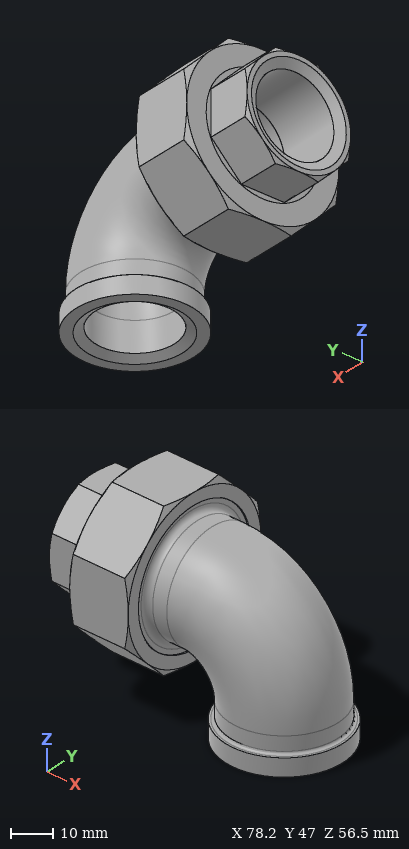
import cadquery as cq
import math

total_length = 78.2
bore_radius = 24.1 / 2
countersink_radius = 29.25 / 2
countersink_angle = 30.0
countersink_depth = (countersink_radius - bore_radius) * math.tan(math.radians(countersink_angle))
joint_radius = 39.8 / 2
octagon_chamfer_angle = 30.0
octagon_sides = 8

nut_start = 13.2
nut_end = 31.8
nut_across_flats = 47.0
nut_lip_thickness = 3.0
nut_lip_radius = 35.0 / 2
nut_shoulder = nut_start + nut_lip_thickness

tail_across_flats = 32.0
tail_collar_thickness = 3.4
tail_end = nut_shoulder + tail_collar_thickness

pipe_radius = 33.0 / 2
bend_start = 37.8
neck_start = 33.3
neck_fillet = 1.95
neck_collar_end = neck_start - neck_fillet
outlet_flange_radius = 36.0 / 2
outlet_flange_height = 5.4
outlet_fillet = 0.85
outlet_x = total_length - outlet_flange_radius
bend_radius = outlet_x - bend_start
outlet_pipe_end = 10.55
inlet_z = outlet_pipe_end + bend_radius


def inlet_cylinder(radius, start, end):
    """Cylinder on the inlet axis between two X positions."""
    axis_start = cq.Vector(start, 0, inlet_z)
    return cq.Workplane(cq.Solid.makeCylinder(radius, end - start, axis_start, cq.Vector(1, 0, 0)))


def countersink(center, direction):
    """Conical lead-in narrowing from an open end to the bore."""
    return cq.Workplane(
        cq.Solid.makeCone(countersink_radius, bore_radius, countersink_depth, center, direction)
    )


def octagon_bar(across_flats, start, end, chamfer_far_end):
    """Octagonal bar on the inlet axis with its corners chamfered by a cone."""
    flat_radius = across_flats / 2
    corner_radius = flat_radius / math.cos(math.pi / octagon_sides)
    chamfer_length = (corner_radius - flat_radius) * math.tan(math.radians(octagon_chamfer_angle))
    bar = (
        cq.Workplane("YZ", origin=(start, 0, inlet_z))
        .transformed(rotate=(0, 0, 180 / octagon_sides))
        .polygon(octagon_sides, 2 * corner_radius)
        .extrude(end - start)
    )
    far_cone_start = end - chamfer_length if chamfer_far_end else end
    profile = cq.Workplane("XZ").moveTo(start, inlet_z).lineTo(start, inlet_z + flat_radius)
    profile = profile.lineTo(start + chamfer_length, inlet_z + corner_radius)
    profile = profile.lineTo(far_cone_start, inlet_z + corner_radius)
    if chamfer_far_end:
        profile = profile.lineTo(end, inlet_z + flat_radius)
    profile = profile.lineTo(end, inlet_z).close()
    envelope = profile.revolve(360, (0, inlet_z), (1, inlet_z))
    return bar.intersect(envelope)


def make_nut():
    """Union nut whose lip holds the tailpiece collar against the elbow."""
    nut = octagon_bar(nut_across_flats, nut_start, nut_end, chamfer_far_end=True)
    nut = nut.cut(inlet_cylinder(nut_lip_radius, nut_start, nut_end))
    return nut.cut(inlet_cylinder(joint_radius, nut_shoulder, nut_end))


def make_tailpiece():
    """Octagonal inlet end with a round neck and a retaining collar."""
    tail = octagon_bar(tail_across_flats, 0, nut_start, chamfer_far_end=False)
    tail = tail.union(inlet_cylinder(nut_lip_radius, nut_start, nut_shoulder))
    tail = tail.union(inlet_cylinder(joint_radius, nut_shoulder, tail_end))
    tail = tail.cut(inlet_cylinder(bore_radius, 0, tail_end))
    return tail.cut(countersink(cq.Vector(0, 0, inlet_z), cq.Vector(1, 0, 0)))


def bent_rod(radius, start):
    """Round rod from the inlet through the bend and down to the outlet face."""
    mid_offset = bend_radius * math.sin(math.pi / 4)
    path = (
        cq.Workplane("XZ")
        .moveTo(start, inlet_z)
        .lineTo(bend_start, inlet_z)
        .threePointArc(
            (bend_start + mid_offset, outlet_pipe_end + mid_offset),
            (outlet_x, outlet_pipe_end),
        )
        .lineTo(outlet_x, 0)
    )
    return cq.Workplane("YZ", origin=(start, 0, inlet_z)).circle(radius).sweep(path)


def elbow_collar():
    """Collar inside the nut, with a concave fillet down to the pipe."""
    collar_top = inlet_z + joint_radius
    pipe_top = inlet_z + pipe_radius
    return (
        cq.Workplane("XZ")
        .moveTo(tail_end, inlet_z)
        .lineTo(tail_end, collar_top)
        .lineTo(neck_collar_end, collar_top)
        .lineTo(neck_collar_end, pipe_top + neck_fillet)
        .radiusArc((neck_start, pipe_top), -neck_fillet)
        .lineTo(neck_start, inlet_z)
        .close()
        .revolve(360, (0, inlet_z), (1, inlet_z))
    )


def outlet_flange():
    """Outlet rim with a concave fillet up to the pipe."""
    return (
        cq.Workplane("XZ")
        .moveTo(outlet_x, 0)
        .lineTo(total_length, 0)
        .lineTo(total_length, outlet_flange_height)
        .lineTo(outlet_x + pipe_radius + outlet_fillet, outlet_flange_height)
        .radiusArc((outlet_x + pipe_radius, outlet_flange_height + outlet_fillet), outlet_fillet)
        .lineTo(outlet_x, outlet_flange_height + outlet_fillet)
        .close()
        .revolve(360, (outlet_x, 0), (outlet_x, 1))
    )


def make_elbow():
    """Hollow 90 degree elbow with an inlet collar and an outlet rim."""
    elbow = bent_rod(pipe_radius, neck_start).union(elbow_collar()).union(outlet_flange())
    elbow = elbow.cut(bent_rod(bore_radius, tail_end))
    return elbow.cut(countersink(cq.Vector(outlet_x, 0, 0), cq.Vector(0, 0, 1)))


nut = make_nut()
tailpiece = make_tailpiece()
elbow = make_elbow()

result = cq.Compound.makeCompound([nut.solids().val(), tailpiece.solids().val(), elbow.solids().val()])